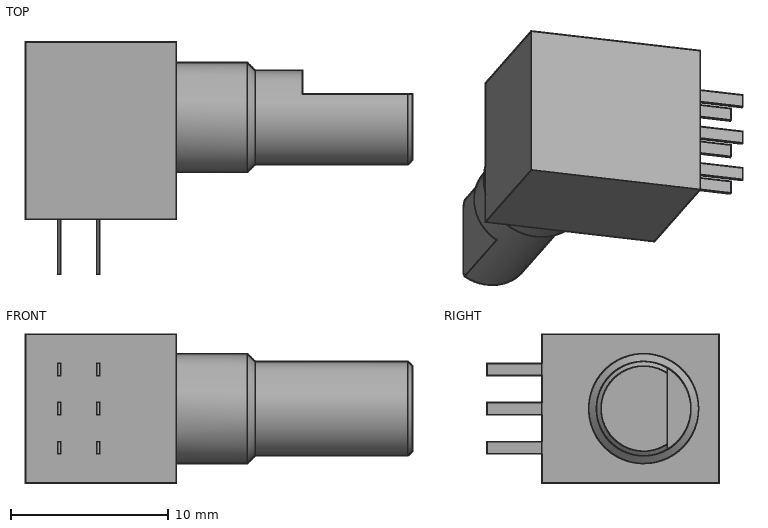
import cadquery as cq

total_length = 24.65
total_depth = 14.8

body_length = 9.61
body_depth = 11.3
body_height = 9.5
axis_to_back = 4.8

bushing_radius = 3.5
bushing_length = 5.0
shaft_radius = 3.0
bushing_chamfer = bushing_radius - shaft_radius
shaft_chamfer = 0.3
flat_length = 7.0
flat_offset = 1.5

pin_thickness = 0.2
pin_width = 0.8
pin_pitch = 2.5
pin_rows = 3
pin_columns = 2
first_pin_x = 2.15
pin_length = total_depth - body_depth

front_face_y = axis_to_back - body_depth


def make_body():
    return cq.Workplane("XY").box(body_length, body_depth, body_height).translate(
        (body_length / 2, axis_to_back - body_depth / 2, 0)
    )


def make_bushing():
    bushing = cq.Workplane("YZ", origin=(body_length, 0, 0)).circle(bushing_radius).extrude(bushing_length)
    return bushing.faces(">X").chamfer(bushing_chamfer)


def make_shaft():
    """Round shaft with a D-shaped end, flat on the +Y side."""
    shaft = cq.Workplane("YZ", origin=(body_length, 0, 0)).circle(shaft_radius)
    shaft = shaft.extrude(total_length - body_length).faces(">X").chamfer(shaft_chamfer)
    flat_cut = cq.Workplane("XY").box(
        flat_length, shaft_radius, 2 * shaft_radius, centered=(False, False, True)
    ).translate((total_length - flat_length, flat_offset, 0))
    return shaft.cut(flat_cut)


def make_pins():
    """Grid of flat pins standing out of the -Y face."""
    grid_center_x = first_pin_x + pin_pitch * (pin_columns - 1) / 2
    return (
        cq.Workplane("XZ", origin=(grid_center_x, front_face_y, 0))
        .rarray(pin_pitch, pin_pitch, pin_columns, pin_rows)
        .rect(pin_thickness, pin_width)
        .extrude(pin_length)
    )


result = make_body().union(make_bushing()).union(make_shaft()).union(make_pins())